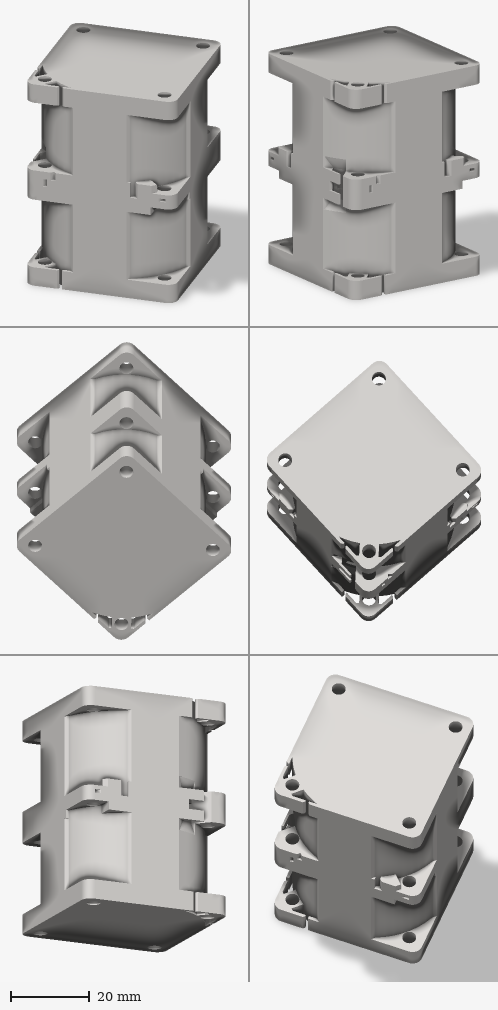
import cadquery as cq
import math

length = 56.0
width = 40.0
half = width / 2
corner_radius = 2.5
cut_margin = 2.8
outside = half + cut_margin

end_flange = 5.1
mid_flange = 8.1
mid_plate = 3.9
mid_flange_half = mid_flange / 2
mid_plate_half = mid_plate / 2
flange_inner_z = length / 2 - end_flange

hole_spacing = 31.9
hole_diameter = 3.5

drum_radius = 20.7
drum_flat = 19.1
drum_edge = math.sqrt(drum_radius**2 - drum_flat**2)
lead_start = drum_edge - (half - drum_flat)
wire_lead_start = 6.15

latch_start = 10.1
latch_end = 13.8
latch_start_chamfer = 0.8
latch_end_chamfer = 1.05
lower_lug_end = 13.55
wedge_start = 15.7
wedge_end = 17.5
wedge_height = 0.85

wire_wall_offset = 4.8
opening_wall_offset = 3.5
root_offset = 10.0
relief_sum = 26.15
channel_radius = 19.75
window_radius = 19.0
relief_height = 3.0
tooth_thickness = 0.55
tooth_end = 13.15
window_start = 8.95
window_height = 2.6

opening_wall = 0.85
slot_start = 10.15
slot_end = 11.05
slot_chamfer = 0.45
slot_overlap = 0.3
opening_corner = 14.6

mark_depth = 0.7
face_marks = [
    (-13.1, -12.45, -11.7, mid_plate_half, mid_flange_half),
    (-15.2, -14.45, -14.05, 0.0, mid_plate_half),
]


def prism(points, bottom, top):
    """Straight prism on a closed XY polygon."""
    return cq.Workplane("XY").workplane(offset=bottom).polyline(points).close().extrude(top - bottom)


def cylinder(radius):
    """Cylinder on the fan axis, as long as the housing."""
    return cq.Workplane("XY").circle(radius).extrude(length / 2, both=True)


def swap_xy(shape):
    """Mirror across the plane x = y."""
    return shape.mirror((1, -1, 0))


def corner_space(wire_start=lead_start):
    """Prism over the (-X, -Y) corner between the flanges, not yet trimmed to the drum."""
    outline = [
        (-outside, -wire_start),
        (-half, -wire_start),
        (-drum_flat, -drum_edge),
        (-drum_edge, -drum_edge),
        (-drum_edge, -drum_flat),
        (-lead_start, -half),
        (-lead_start, -outside),
        (-outside, -outside),
    ]
    below = prism(outline, -flange_inner_z, -mid_flange_half)
    above = prism(outline, mid_flange_half, flange_inner_z)
    return below.union(above)


def latch_space():
    """Steps and notch in the mid flange at the (+X, -Y) corner, not yet trimmed to the drum."""
    notch_wall = latch_start - latch_start_chamfer
    notch_back = -half + latch_start_chamfer
    lug_tip = (latch_end + latch_end_chamfer, -half + latch_end_chamfer)
    lug_run = lug_tip[0] - notch_wall

    upper_lug = prism(
        [
            (latch_start, -half),
            (latch_end, -half),
            lug_tip,
            (notch_wall, lug_tip[1] + lug_run),
            (notch_wall, notch_back),
        ],
        mid_plate_half,
        mid_flange_half,
    )
    upper_step = prism(
        [
            (drum_edge, -outside),
            (outside, -outside),
            (outside, -lead_start),
            (half, -lead_start),
            (drum_flat, -drum_edge),
            (drum_edge, -drum_edge),
        ],
        mid_plate_half,
        mid_flange_half,
    ).cut(upper_lug)
    notch = prism(
        [
            (drum_edge, -outside),
            (latch_start, -outside),
            (latch_start, -half),
            (notch_wall, notch_back),
            (notch_wall, -drum_edge),
            (drum_edge, -drum_edge),
        ],
        0,
        mid_flange_half,
    )
    lower_step = prism(
        [
            (lower_lug_end, -outside),
            (outside, -outside),
            (outside, -drum_edge),
            (lower_lug_end, -drum_edge),
        ],
        -mid_flange_half,
        -mid_plate_half,
    )
    return upper_step.union(notch).union(lower_step)


def latch_wedge():
    """Small wedge-shaped recess beside the rounded edge of the latch corner."""
    wedge_depth = wedge_end - wedge_start
    outline = [(wedge_start, -half), (wedge_end, -half), (wedge_end, -half + wedge_depth)]
    return prism(outline, 0, wedge_height)


def wire_relief():
    """Conical relief above and below the mid flange, joined by the wire channel."""
    top = mid_flange_half + relief_height
    core = (
        cq.Workplane("XZ")
        .polyline([
            (0, -top),
            (drum_radius, -top),
            (channel_radius, -mid_flange_half),
            (channel_radius, mid_flange_half),
            (drum_radius, top),
            (0, top),
        ])
        .close()
        .revolve(360, (0, 0), (0, 1))
    )
    inner_x = -(relief_sum + wire_wall_offset) / 2
    relief = prism(
        [
            (-outside, outside - relief_sum),
            (inner_x, inner_x + wire_wall_offset),
            (-outside, -outside + wire_wall_offset),
        ],
        -top,
        top,
    )
    root_x = -(relief_sum + root_offset) / 2
    tooth_back = -half + tooth_thickness
    solid_tooth = prism(
        [
            (-outside, outside - relief_sum),
            (root_x, root_x + root_offset),
            (tooth_back, tooth_back + root_offset),
            (tooth_back, -tooth_end),
            (-outside, -tooth_end),
        ],
        -mid_flange_half,
        mid_flange_half,
    )
    return relief.cut(core).cut(solid_tooth)


def wire_window():
    """Window through the tooth and on into the drum."""
    outline = [
        (-outside, -window_start),
        (-window_start - wire_wall_offset, -window_start),
        (-outside, wire_wall_offset - outside),
    ]
    window = prism(outline, -window_height / 2, window_height / 2)
    return window.cut(cylinder(window_radius))


def flange_opening(bottom, entry_chamfer):
    """Wire opening through an end flange with its entry slot in the -X face."""
    top = bottom + end_flange
    wall = -half + opening_wall
    blunt_x = -(opening_corner - wall + opening_wall_offset) / 2
    opening = prism(
        [
            (wall, -drum_edge),
            (wall, -opening_corner),
            (blunt_x, blunt_x + opening_wall_offset),
            (-drum_edge, -drum_edge + opening_wall_offset),
            (-drum_edge, -drum_edge),
        ],
        bottom,
        top,
    ).cut(cylinder(drum_radius))
    slot = prism(
        [
            (wall + slot_overlap, -slot_start),
            (-half + slot_chamfer, -slot_start),
            (-half, -slot_start + entry_chamfer),
            (-half, -slot_end - slot_chamfer),
            (-half + slot_chamfer, -slot_end),
            (wall + slot_overlap, -slot_end),
        ],
        bottom,
        top,
    )
    return opening.union(slot)


result = cq.Workplane("XY").box(width, width, length).edges("|Z").fillet(corner_radius)

drum = cylinder(drum_radius)
wire_pocket = corner_space(wire_lead_start).cut(drum)
plain_pocket = corner_space().rotate((0, 0, 0), (0, 0, 1), 180).cut(drum)
latch_pocket = corner_space().rotate((0, 0, 0), (0, 0, 1), 90).union(latch_space()).cut(drum)
latch_pocket = latch_pocket.union(latch_wedge())
for pocket in (wire_pocket, plain_pocket, latch_pocket, swap_xy(latch_pocket)):
    result = result.cut(pocket)

holes = (
    cq.Workplane("XY")
    .rect(hole_spacing, hole_spacing, forConstruction=True)
    .vertices()
    .circle(hole_diameter / 2)
    .extrude(length / 2, both=True)
)
result = result.cut(holes)

result = result.cut(wire_relief()).cut(wire_window())
for start, tip, end, bottom, top in face_marks:
    mark = [(start, -half), (tip, -half + mark_depth), (end, -half)]
    result = result.cut(prism(mark, bottom, top))

top_opening = flange_opening(flange_inner_z, slot_chamfer)
bottom_opening = flange_opening(-length / 2, 0)
for opening in (top_opening, bottom_opening):
    result = result.cut(opening).cut(swap_xy(opening))